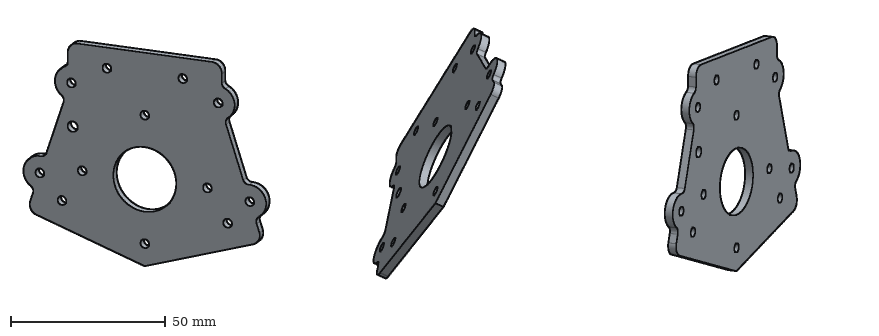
import cadquery as cq
import math

overall_width = 85.35
overall_height = 73.15
thickness = 3.0

top_z = 43.4
tip_z = top_z - overall_height
top_half_width = 27.1
taper_angle = math.radians(18.25)
side_half_width = 36.05
corner_radius = 3.5

ear_radius = 5.8
ear_blend_radius = 2.0
upper_ear = (25.8, 29.6)
lower_ear = (overall_width / 2 - ear_radius, -2.7)

bore_diameter = 22.1
small_hole_diameter = 3.0
side_hole_diameter = 3.5
motor_hole_offset = 22.0
top_hole = (13.33, 36.3)
bottom_hole = (29.1, -11.13)
side_hole = (-25.35, 14.7)

taper = math.tan(taper_angle)
shoulder_z = (side_half_width - top_half_width) / taper
lower_corner_z = (side_half_width + tip_z / taper) / (taper + 1 / taper)
lower_corner_x = side_half_width - taper * lower_corner_z


def mirrored(point):
    """Return the point and its mirror image across X = 0."""
    x, z = point
    return [(x, z), (-x, z)]


def extrude_plate(sketch):
    """Extrude a sketch on the XZ plane from Y = 0 to Y = thickness."""
    return sketch.extrude(-thickness)


def ear_to_upright_edge(ear):
    """Upper crossing of an ear circle with the upright edge."""
    rise = math.sqrt(ear_radius**2 - (top_half_width - ear[0]) ** 2)
    return (top_half_width, ear[1] + rise)


def ear_to_side_edge(ear, direction):
    """Crossing of an ear circle with the tapered edge: direction 1 is upper, -1 is lower."""
    edge_offset = side_half_width - taper * ear[1] - ear[0]
    distance = edge_offset * math.cos(taper_angle)
    half_chord = math.sqrt(ear_radius**2 - distance**2)
    x = ear[0] + distance * math.cos(taper_angle) - direction * half_chord * math.sin(taper_angle)
    z = ear[1] + distance * math.sin(taper_angle) + direction * half_chord * math.cos(taper_angle)
    return (x, z)


def fillet_at(plate, points, radius):
    """Round the through-thickness edges at the given points and their mirror images."""
    for point in points:
        for x, z in mirrored(point):
            edge = cq.selectors.NearestToPointSelector((x, thickness / 2, z))
            plate = plate.edges("|Y").edges(edge).fillet(radius)
    return plate


def make_body():
    """Tapered plate with a pointed bottom and rounded outer corners."""
    right_side = [
        (top_half_width, top_z),
        (top_half_width, shoulder_z),
        (lower_corner_x, lower_corner_z),
    ]
    left_side = [(-x, z) for x, z in reversed(right_side)]
    outline = right_side + [(0, tip_z)] + left_side
    body = extrude_plate(cq.Workplane("XZ").polyline(outline).close())
    return fillet_at(body, [right_side[0], right_side[2]], corner_radius)


def add_ears(plate):
    """Add the two pairs of ears and blend them into the plate edges."""
    centers = mirrored(upper_ear) + mirrored(lower_ear)
    ears = extrude_plate(cq.Workplane("XZ").pushPoints(centers).circle(ear_radius))
    inner_corners = [
        ear_to_upright_edge(upper_ear),
        ear_to_side_edge(upper_ear, -1),
        ear_to_side_edge(lower_ear, 1),
        ear_to_side_edge(lower_ear, -1),
    ]
    return fillet_at(plate.union(ears), inner_corners, ear_blend_radius)


def cut_holes(plate, points, diameter):
    """Cut through holes at the given points."""
    holes = extrude_plate(cq.Workplane("XZ").pushPoints(points).circle(diameter / 2))
    return plate.cut(holes)


small_holes = mirrored((motor_hole_offset, 0)) + [(0, motor_hole_offset), (0, -motor_hole_offset)]
for hole in (top_hole, upper_ear, lower_ear, bottom_hole):
    small_holes += mirrored(hole)

plate = add_ears(make_body())
plate = cut_holes(plate, [(0, 0)], bore_diameter)
plate = cut_holes(plate, small_holes, small_hole_diameter)
result = cut_holes(plate, [side_hole], side_hole_diameter)